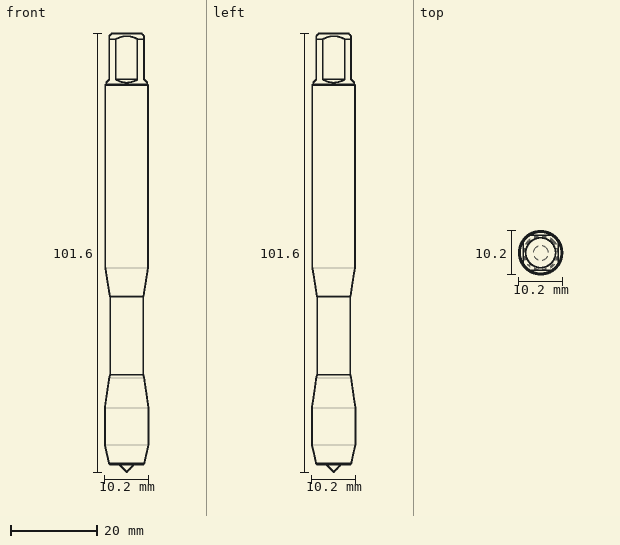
import cadquery as cq

shank_diameter = 10.0
neck_diameter = 7.7
head_diameter = 10.2
square_corner_diameter = 9.6
end_face_diameter = 6.9
shank_taper_diameter = 7.9
head_taper_diameter = 8.1
head_end_diameter = 8.2
head_face_diameter = 7.6
tip_diameter = 3.5

total_length = 101.6
shank_top = 89.7
shank_bottom = 47.4
neck_top = 40.7
neck_bottom = 22.6
head_top = 21.9
head_shoulder = 14.9
lead_start = 6.3
lead_end = 2.0
tip_height = tip_diameter / 2
neck_top_blend = 0.3

across_flats = 8.1
flat_bottom = 91.0


def revolve_profile(points):
    """Turn a closed (radius, height) outline around the Z axis."""
    return cq.Workplane("XZ").polyline(points).close().revolve(360, (0, 0), (0, 1))


def flat_cutter():
    """Wedge that cuts the +X flat and the 45 degree run-out below it."""
    flat = across_flats / 2
    reach = shank_diameter
    run_out = reach - flat
    outline = [
        (flat, flat_bottom),
        (reach, flat_bottom - run_out),
        (reach, total_length),
        (flat, total_length),
    ]
    return cq.Workplane("XZ").polyline(outline).close().extrude(shank_diameter, both=True)


def make_shank():
    """Shank with the driving square at the top and the neck at the bottom."""
    end_chamfer = (square_corner_diameter - end_face_diameter) / 2
    shoulder_chamfer = (shank_diameter - square_corner_diameter) / 2
    shank = revolve_profile([
        (0, neck_bottom),
        (neck_diameter / 2, neck_bottom),
        (neck_diameter / 2, neck_top),
        (shank_taper_diameter / 2, neck_top + neck_top_blend),
        (shank_diameter / 2, shank_bottom),
        (shank_diameter / 2, shank_top),
        (square_corner_diameter / 2, shank_top + shoulder_chamfer),
        (square_corner_diameter / 2, total_length - end_chamfer),
        (end_face_diameter / 2, total_length),
        (0, total_length),
    ])
    for angle in (0, 90, 180, 270):
        shank = shank.cut(flat_cutter().rotate((0, 0, 0), (0, 0, 1), angle))
    return shank


def make_head():
    """Working head below the neck, tapered at both ends and pointed at the tip."""
    return revolve_profile([
        (0, 0),
        (tip_diameter / 2, tip_height),
        (head_face_diameter / 2, tip_height),
        (head_end_diameter / 2, lead_end),
        (head_diameter / 2, lead_start),
        (head_diameter / 2, head_shoulder),
        (head_taper_diameter / 2, head_top),
        (neck_diameter / 2, neck_bottom),
        (0, neck_bottom),
    ])


shank = make_shank()
head = make_head()

result = cq.Compound.makeCompound([shank.val(), head.val()])